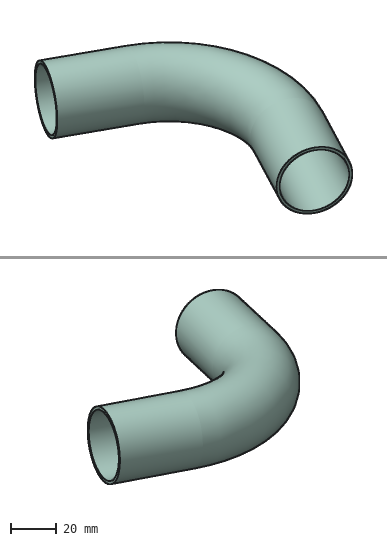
import cadquery as cq
import math

outer_diameter = 35.0
inner_diameter = 32.0
bend_radius = 55.0
leg_length = 40.0


def centreline():
    """Path from the open end facing -Y, round the bend, to the open end facing +X.

    The bend is centred on the origin, in the XY plane.
    """
    bend_middle = bend_radius * math.sqrt(0.5)
    return (
        cq.Workplane("XY")
        .moveTo(-bend_radius, -leg_length)
        .lineTo(-bend_radius, 0)
        .threePointArc((-bend_middle, bend_middle), (0, bend_radius))
        .lineTo(leg_length, bend_radius)
    )


def tube():
    """Annular section swept along the centreline."""
    start_plane = cq.Plane(origin=(-bend_radius, -leg_length, 0), xDir=(1, 0, 0), normal=(0, 1, 0))
    return (
        cq.Workplane(start_plane)
        .circle(outer_diameter / 2)
        .circle(inner_diameter / 2)
        .sweep(centreline())
    )


result = tube()